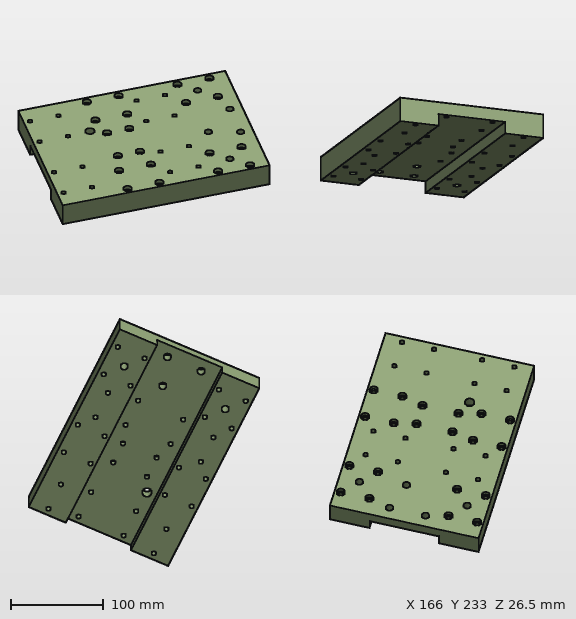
import cadquery as cq

WIDTH = 166.0
LENGTH = 233.0
HEIGHT = 26.5
CHANNEL_WIDTH = 77.4
CHANNEL_DEPTH = 13.0

SCREW_DIAMETER = 5.0
COUNTERBORE_DIAMETER = 9.0
COUNTERBORE_DEPTH = 5.0
CLEARANCE_DIAMETER = 8.0
LARGE_DIAMETER = 10.0

GROUP_CENTRE_X = 60.0
GROUP_CENTRES_Y = (78.5, -23.5)
SHORT_PITCH = 32.0
LONG_PITCH = 35.9

PLAIN_CENTRE_X = 44.7
PLAIN_CENTRES_Y = (26.5, -93.5)

MIDDLE_PITCH_X = 40.0
MIDDLE_PITCH_Y = 25.0
MIDDLE_CENTRE_Y = -23.0

REAR_PAIR_Y = 102.8
OUTER_PAIR_Y = GROUP_CENTRES_Y[0]
SINGLE_HOLE = (10.0, 69.5)
LARGE_HOLE = (-28.0, -52.5)


def rectangle_corners(centre_x, centre_y, pitch_x, pitch_y):
    """Corner points of a rectangular four-hole group."""
    return [
        (centre_x + side_x * pitch_x / 2, centre_y + side_y * pitch_y / 2)
        for side_x in (-1, 1)
        for side_y in (-1, 1)
    ]


def mirrored_groups(centre_x, centres_y, pitch_x, pitch_y):
    """Points of four-hole groups repeated on both sides and in every row."""
    points = []
    for centre_y in centres_y:
        for side in (-1, 1):
            points += rectangle_corners(side * centre_x, centre_y, pitch_x, pitch_y)
    return points


def drill(body, points, diameter):
    """Cut holes through the full height."""
    cutters = cq.Workplane("XY").pushPoints(points).circle(diameter / 2).extrude(HEIGHT)
    return body.cut(cutters)


def counterbore(body, points):
    """Cut through holes with a flat-bottomed recess in the top face."""
    recesses = (
        cq.Workplane("XY", origin=(0, 0, HEIGHT))
        .pushPoints(points)
        .circle(COUNTERBORE_DIAMETER / 2)
        .extrude(-COUNTERBORE_DEPTH)
    )
    return drill(body, points, SCREW_DIAMETER).cut(recesses)


plate = cq.Workplane("XY").box(WIDTH, LENGTH, HEIGHT, centered=(True, True, False))
channel = cq.Workplane("XY").box(CHANNEL_WIDTH, LENGTH, CHANNEL_DEPTH, centered=(True, True, False))
plate = plate.cut(channel)

group_screws = mirrored_groups(GROUP_CENTRE_X, GROUP_CENTRES_Y, SHORT_PITCH, LONG_PITCH)
middle_screws = rectangle_corners(0, MIDDLE_CENTRE_Y, MIDDLE_PITCH_X, MIDDLE_PITCH_Y)
plate = counterbore(plate, group_screws + middle_screws)

plain_screws = mirrored_groups(PLAIN_CENTRE_X, PLAIN_CENTRES_Y, LONG_PITCH, SHORT_PITCH)
plate = drill(plate, plain_screws, SCREW_DIAMETER)

clearance_holes = [SINGLE_HOLE]
for side in (-1, 1):
    clearance_holes.append((side * MIDDLE_PITCH_X / 2, REAR_PAIR_Y))
    clearance_holes.append((side * GROUP_CENTRE_X, OUTER_PAIR_Y))
plate = drill(plate, clearance_holes, CLEARANCE_DIAMETER)
plate = drill(plate, [LARGE_HOLE], LARGE_DIAMETER)

result = plate